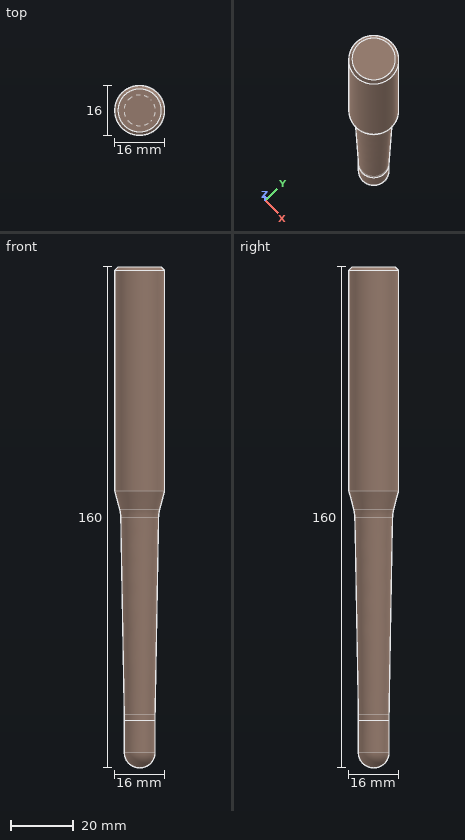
import cadquery as cq
import math

total_length = 160.0
shank_radius = 8.0
shank_bottom = 88.5
end_chamfer = 1.1

tip_radius = 5.0
cutting_length = 15.2
taper_bottom = 17.1
taper_top = 80.0
taper_top_radius = 6.0
taper_angle = math.atan((taper_top_radius - tip_radius) / (taper_top - taper_bottom))

cone_angle = math.radians(15)
fillet_radius = 10.7
fillet_center_radius = taper_top_radius + fillet_radius * math.cos(taper_angle)
fillet_center_height = taper_top - fillet_radius * math.sin(taper_angle)


def fillet_point(angle):
    """Point (radius, height) of the fillet where its tangent leans outward by the angle."""
    radius = fillet_center_radius - fillet_radius * math.cos(angle)
    height = fillet_center_height + fillet_radius * math.sin(angle)
    return radius, height


def make_cutting_head():
    """Straight cylinder ending in a full hemisphere at the bottom."""
    arc_middle = (
        tip_radius * math.sin(math.pi / 4),
        tip_radius * (1 - math.cos(math.pi / 4)),
    )
    return (
        cq.Workplane("XZ")
        .moveTo(0, 0)
        .threePointArc(arc_middle, (tip_radius, tip_radius))
        .lineTo(tip_radius, cutting_length)
        .lineTo(0, cutting_length)
        .close()
        .revolve(360, (0, 0), (0, 1))
    )


def make_shank():
    """Tapered neck, fillet, cone and chamfered cylindrical shank."""
    return (
        cq.Workplane("XZ")
        .moveTo(0, cutting_length)
        .lineTo(tip_radius, cutting_length)
        .lineTo(tip_radius, taper_bottom)
        .lineTo(taper_top_radius, taper_top)
        .threePointArc(fillet_point((taper_angle + cone_angle) / 2), fillet_point(cone_angle))
        .lineTo(shank_radius, shank_bottom)
        .lineTo(shank_radius, total_length - end_chamfer)
        .lineTo(shank_radius - end_chamfer, total_length)
        .lineTo(0, total_length)
        .close()
        .revolve(360, (0, 0), (0, 1))
    )


cutting_head = make_cutting_head()
shank = make_shank()

result = cq.Compound.makeCompound([cutting_head.val(), shank.val()])